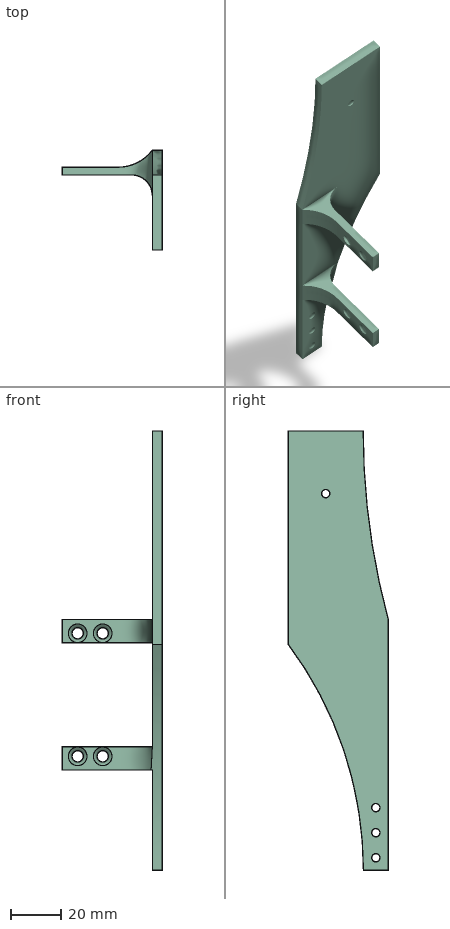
import cadquery as cq
import math

width = 40.0
depth = 40.0
height = 175.33

plate_thickness = 4.0
plate_inner_x = width - plate_thickness
foot_width = 10.0
foot_front_y = depth - foot_width
head_inset = 10.0
head_back_y = depth - head_inset
front_curve_radius = 150.5
shoulder_drop = 75.2
shoulder_z = height - shoulder_drop

pin_hole_diameter = 3.2
foot_hole_inset = 5.0
foot_hole_heights = (5.0, 15.0, 25.0)
head_hole_y = head_back_y / 2
head_hole_drop = 25.0

arm_thickness = 3.2
arm_height = 9.4
arm_pitch = 50.8
arm_back_y = 33.2
arm_front_y = arm_back_y - arm_thickness
back_fillet_radius = 17.0
front_fillet_radius = 8.2
upper_arm_z = shoulder_z - arm_height
lower_arm_z = upper_arm_z - arm_pitch

screw_hole_diameter = 4.4
countersink_diameter = 7.4
countersink_angle = 90.0
screw_hole_xs = (6.2, 16.2)
screw_edge_distance = 3.85


def tangent_arc_rise(radius, offset):
    """Length along the tangent at which an arc has moved sideways by offset."""
    return math.sqrt(radius**2 - (radius - offset) ** 2)


def plate_profile(start_x, thickness):
    """Extrude the plate outline along +X; both curved edges start vertical at the plate ends."""
    front_corner_z = tangent_arc_rise(front_curve_radius, foot_front_y)
    front_mid_z = front_corner_z / 2
    front_mid_y = foot_front_y - front_curve_radius + math.sqrt(front_curve_radius**2 - front_mid_z**2)

    back_radius = (head_inset**2 + shoulder_drop**2) / (2 * head_inset)
    back_mid_drop = shoulder_drop / 2
    back_mid_y = head_back_y + back_radius - math.sqrt(back_radius**2 - back_mid_drop**2)

    return (
        cq.Workplane("YZ", origin=(start_x, 0, 0))
        .moveTo(foot_front_y, 0)
        .threePointArc((front_mid_y, front_mid_z), (0, front_corner_z))
        .lineTo(0, height)
        .lineTo(head_back_y, height)
        .threePointArc((back_mid_y, height - back_mid_drop), (depth, shoulder_z))
        .lineTo(depth, 0)
        .close()
        .extrude(thickness)
    )


def make_plate():
    plate = plate_profile(plate_inner_x, plate_thickness)
    hole_points = [(depth - foot_hole_inset, z) for z in foot_hole_heights]
    hole_points.append((head_hole_y, height - head_hole_drop))
    holes = (
        cq.Workplane("YZ", origin=(plate_inner_x, 0, 0))
        .pushPoints(hole_points)
        .circle(pin_hole_diameter / 2)
        .extrude(plate_thickness)
    )
    return plate.cut(holes)


def make_arm(bottom_z, screw_z):
    """Arm with a flared root: a full fillet in front, a larger one behind cut off at the plate edge."""
    back_rise = depth - arm_back_y
    back_start_x = plate_inner_x - tangent_arc_rise(back_fillet_radius, back_rise)
    back_mid_run = (plate_inner_x - back_start_x) / 2
    back_mid_y = arm_back_y + back_fillet_radius - math.sqrt(back_fillet_radius**2 - back_mid_run**2)

    front_start_x = plate_inner_x - front_fillet_radius
    diagonal_inset = front_fillet_radius * (1 - math.sqrt(0.5))

    arm = (
        cq.Workplane("XY", origin=(0, 0, bottom_z))
        .moveTo(0, arm_front_y)
        .lineTo(front_start_x, arm_front_y)
        .threePointArc(
            (plate_inner_x - diagonal_inset, arm_front_y - diagonal_inset),
            (plate_inner_x, arm_front_y - front_fillet_radius),
        )
        .lineTo(plate_inner_x, depth)
        .threePointArc((back_start_x + back_mid_run, back_mid_y), (back_start_x, arm_back_y))
        .lineTo(0, arm_back_y)
        .close()
        .extrude(arm_height)
    )
    return (
        arm.intersect(plate_profile(0, width))
        .copyWorkplane(cq.Workplane("XZ", origin=(0, arm_front_y, 0)))
        .pushPoints([(x, screw_z) for x in screw_hole_xs])
        .cskHole(screw_hole_diameter, countersink_diameter, countersink_angle)
    )


upper_arm = make_arm(upper_arm_z, upper_arm_z + screw_edge_distance)
lower_arm = make_arm(lower_arm_z, lower_arm_z + arm_height - screw_edge_distance)

result = make_plate().union(upper_arm).union(lower_arm)